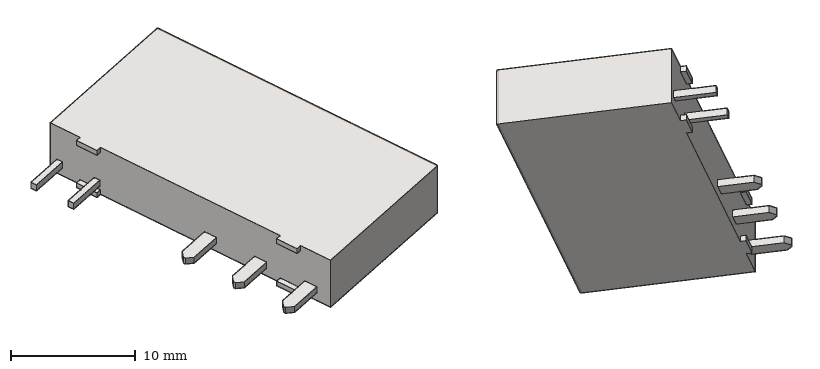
import cadquery as cq

length = 28.0
height = 5.0
overall_depth = 18.0
pin_length = 3.5
body_depth = overall_depth - pin_length
back_edge_radius = 0.2

tab_width = 2.05
tab_thickness = 0.5
tab_projection = 0.48
tab_centers = (4.0, 24.0)

pin_bottom = 0.85
pin_thickness = 0.65
coil_pin_width = 0.55
coil_pin_centers = (0.95, 4.68)
contact_pin_width = 1.2
contact_pin_pitch = 5.0
first_contact_x = 16.02
contact_pin_count = 3
tip_length = 0.5
tip_flat_width = 0.2


def make_housing():
    """Plain block with the edges around its back face rounded."""
    block = cq.Workplane("XY").box(length, body_depth, height, centered=False)
    return block.faces(">Y").edges().fillet(back_edge_radius)


def make_tab(center_x, bottom_z):
    """Small rectangular standoff projecting from the pin face."""
    tab = cq.Workplane("XY").box(
        tab_width, tab_projection, tab_thickness, centered=(True, False, False)
    )
    return tab.translate((center_x, -tab_projection, bottom_z))


def make_coil_pin(center_x):
    """Narrow straight pin with a square end."""
    pin = cq.Workplane("XY").box(
        coil_pin_width, pin_length, pin_thickness, centered=(True, False, False)
    )
    return pin.translate((center_x, -pin_length, pin_bottom))


def make_contact_pin(center_x):
    """Wide flat pin tapering to a narrow flat tip."""
    half_width = contact_pin_width / 2
    half_flat = tip_flat_width / 2
    shoulder_y = tip_length - pin_length
    outline = [
        (-half_width, 0),
        (-half_width, shoulder_y),
        (-half_flat, -pin_length),
        (half_flat, -pin_length),
        (half_width, shoulder_y),
        (half_width, 0),
    ]
    pin = cq.Workplane("XY").polyline(outline).close().extrude(pin_thickness)
    return pin.translate((center_x, 0, pin_bottom))


result = make_housing()

for tab_x in tab_centers:
    for tab_z in (0, height - tab_thickness):
        result = result.union(make_tab(tab_x, tab_z))

for pin_x in coil_pin_centers:
    result = result.union(make_coil_pin(pin_x))

for index in range(contact_pin_count):
    pin_x = first_contact_x + index * contact_pin_pitch
    result = result.union(make_contact_pin(pin_x))